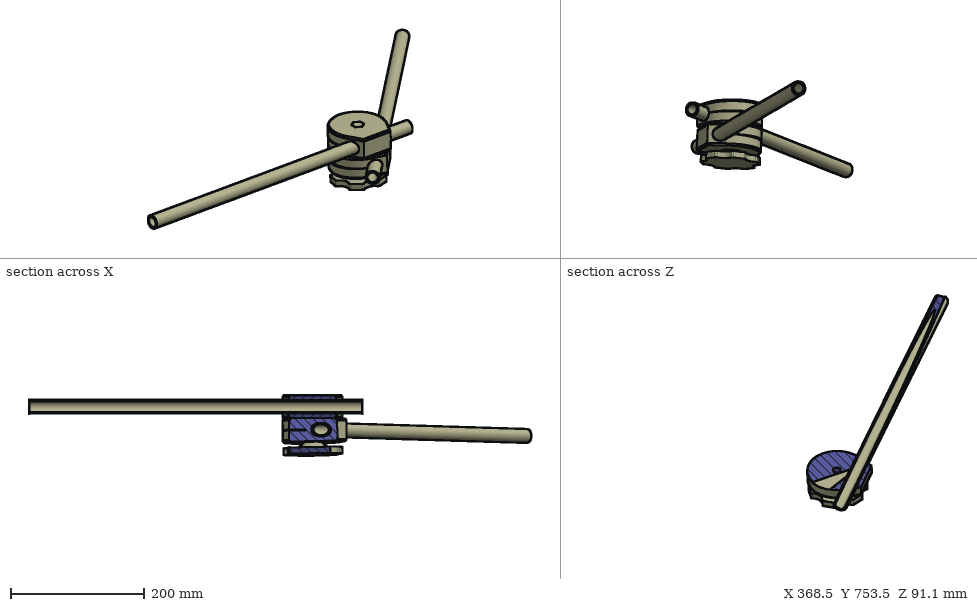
import cadquery as cq
import math


pipe_diameter = 21.3
pipe_wall = 2.6
pipe_length = 500.0
pipe_overhang = 74.8

clamp_radius = 45.0
jaw_height = 17.2
pipe_offset = 28.5
hinge_face = 46.0
tangent_x = 21.5
chamfer_width = 2.0
chamfer_height = 3.0
jaw_opening = 1.75
swing_angle = 45.0

bolt_sides = 6
bolt_diameter = 10.0
head_across_flats = 17.0
head_across_corners = head_across_flats / math.cos(math.pi / bolt_sides)
head_height = 7.0
bolt_end_depth = 10.0
bolt_length = 4 * jaw_height + bolt_end_depth

knob_sides = 6
knob_apothem = 43.5
knob_thickness = 10.0
knob_corner = knob_apothem / math.cos(math.pi / knob_sides)
scallop_radius = 15.0
scallop_centre = 52.0
scallop_fillet = 3.0
hub_height = 8.1
hub_top_radius = 14.0
hub_base_radius = 22.0


def swing_about_pipe(angle):
    """Turn about the pipe axis of a clamp, lowering the side that holds the bolt."""
    return (
        cq.Location(cq.Vector(pipe_offset, 0, -jaw_height))
        * cq.Location(cq.Vector(0, 0, 0), cq.Vector(0, 1, 0), -angle)
        * cq.Location(cq.Vector(-pipe_offset, 0, jaw_height))
    )


def placed(body, frame):
    """Copy of a body moved into the given frame."""
    return cq.Workplane(body.val().moved(frame))


top_to_underside = swing_about_pipe(jaw_opening) * cq.Location(cq.Vector(0, 0, -2 * jaw_height))
swing_about_bolt = cq.Location(cq.Vector(0, 0, 0), cq.Vector(0, 0, 1), swing_angle)

upper_frame = cq.Location(cq.Vector(0, 0, 0))
lower_frame = upper_frame * top_to_underside * swing_about_bolt
knob_frame = lower_frame * top_to_underside


def make_pipe(long_side):
    """Round pipe through the clamp bore; its long end points to +Y (long_side 1) or -Y (long_side -1)."""
    end_plane = cq.Plane(
        origin=(pipe_offset, -long_side * pipe_overhang, -jaw_height),
        xDir=(0, 0, 1),
        normal=(0, long_side, 0),
    )
    return (
        cq.Workplane(end_plane)
        .circle(pipe_diameter / 2)
        .circle(pipe_diameter / 2 - pipe_wall)
        .extrude(pipe_length)
    )


def make_clamp():
    """One-piece clamp: a disc with tangent sides, parted into two jaws by a slit that widens from the bore."""
    tangent_y = math.sqrt(clamp_radius**2 - tangent_x**2)
    corner_y = (clamp_radius**2 - hinge_face * tangent_x) / tangent_y
    column = (
        cq.Workplane("XY", origin=(0, 0, -3 * jaw_height))
        .moveTo(tangent_x, tangent_y)
        .threePointArc((-clamp_radius, 0), (tangent_x, -tangent_y))
        .lineTo(hinge_face, -corner_y)
        .lineTo(hinge_face, corner_y)
        .close()
        .extrude(4 * jaw_height)
    )
    column = placed(column, swing_about_pipe(jaw_opening / 2))

    reach = 2 * clamp_radius
    drop = reach * math.tan(math.radians(jaw_opening))
    underside_at_pipe = jaw_height / math.cos(math.radians(jaw_opening))
    profile = (
        cq.Workplane("XZ", origin=(pipe_offset, 0, -jaw_height))
        .polyline([
            (-reach, jaw_height),
            (reach, jaw_height),
            (reach, drop - underside_at_pipe),
            (-reach, -drop - underside_at_pipe),
        ])
        .close()
        .extrude(reach, both=True)
    )
    clamp = column.intersect(profile).faces(">Z or <Z").chamfer(chamfer_width, chamfer_height)

    slit = (
        cq.Workplane("XZ", origin=(pipe_offset, 0, -jaw_height))
        .polyline([(0, 0), (-reach, 0), (-reach, -drop)])
        .close()
        .extrude(reach, both=True)
    )
    bore = (
        cq.Workplane("XZ", origin=(pipe_offset, 0, -jaw_height))
        .circle(pipe_diameter / 2)
        .extrude(reach, both=True)
    )
    return clamp.cut(slit).cut(bore)


def make_bolt():
    """Hexagon bolt with its head flush in the top of the upper clamp."""
    head = (
        cq.Workplane("XY", origin=(0, 0, -head_height))
        .polygon(bolt_sides, head_across_corners)
        .extrude(head_height)
    )
    shank = cq.Workplane("XY").circle(bolt_diameter / 2).extrude(-bolt_length)
    return head.union(shank)


def make_knob():
    """Hexagonal knob with scalloped corners and a tapered hub against the lower clamp."""
    plate_bottom = -hub_height - knob_thickness
    plate = (
        cq.Workplane("XY", origin=(0, 0, plate_bottom))
        .polygon(knob_sides, 2 * knob_corner)
        .extrude(knob_thickness)
    )
    scallops = (
        cq.Workplane("XY", origin=(0, 0, plate_bottom))
        .polarArray(scallop_centre, 0, 360, knob_sides)
        .circle(scallop_radius)
        .extrude(knob_thickness)
    )
    plate = plate.cut(scallops).edges("|Z").fillet(scallop_fillet)
    hub = (
        cq.Workplane("XY", origin=(0, 0, -hub_height))
        .circle(hub_base_radius)
        .workplane(offset=hub_height)
        .circle(hub_top_radius)
        .loft()
    )
    return plate.union(hub)


bolt = make_bolt()
upper_pipe = placed(make_pipe(-1), upper_frame)
lower_pipe = placed(make_pipe(1), lower_frame)
upper_clamp = placed(make_clamp(), upper_frame).cut(bolt)
lower_clamp = placed(make_clamp(), lower_frame).cut(bolt)
knob = placed(make_knob(), knob_frame).cut(bolt)

result = cq.Compound.makeCompound([
    upper_pipe.val(), lower_pipe.val(), upper_clamp.val(), lower_clamp.val(), bolt.val(), knob.val(),
])